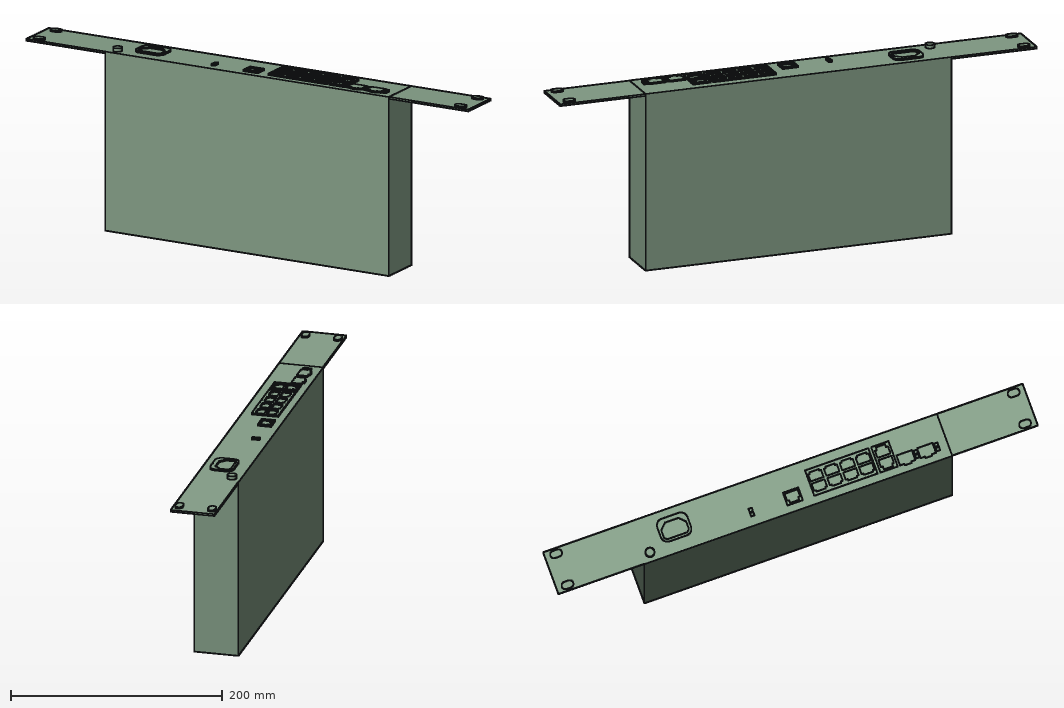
import cadquery as cq

rack_width = 482.5
chassis_width = 310.0
chassis_height = 43.5
chassis_depth = 176.5
ear_thickness = 2.0
ear_height = 43.0

chassis_right = chassis_width / 2
ear_length = (rack_width - chassis_width) / 2
chassis_top_y = chassis_height / 2

relief = 1.5

rack_boss_width = 11.5
rack_boss_height = 7.0
rack_boss_x = 230.0
rack_boss_pitch = 32.0

button_x = -146.0
button_y = -13.0
button_diameter = 8.5
button_height = 3.5

inlet_x = -116.5
inlet_y = 2.5
inlet_width = 30.5
inlet_height = 23.0
inlet_corner = 6.8
socket_width = 25.0
socket_height = 16.0
socket_y = 1.5
socket_top_chamfer = 6.0
socket_bottom_chamfer = 2.5

led_size = 3.5
led_pitch = 4.5
led_y = -8.5
status_led_x = -42.5

jack_width = 13.0
jack_body_height = 7.0
latch_width = 9.0
block_latch_height = 1.5
single_latch_height = 3.0

console_x = -0.5
console_y = -7.5
console_width = 15.5
console_height = 13.0
console_rim = 1.5

ports_y = -1.0
ports_height = 26.0
row_gap = 2.5
block_x = 50.5
block_width = 63.5
block_columns = 4
jack_pitch = 16.0
uplink_x = 94.0
uplink_width = 17.5

cage_xs = (113.0, 133.5)
cage_width = 15.5
cage_height = 10.0
cage_y = -8.5
tab_width = 6.8
tab_height = 1.5
cage_led_offset = 10.5


def block(width, height, x, y, z_bottom, z_top):
    """Rectangular block centred on (x, y) between two heights."""
    return cq.Workplane("XY", origin=(x, y, z_bottom)).rect(width, height).extrude(z_top - z_bottom)


def raised(width, height, x, y):
    """Shallow rectangular boss on the front plate."""
    return block(width, height, x, y, 0, relief)


def ear(side):
    """Mounting ear beside the chassis with two oval bosses; side is -1 (left) or 1 (right)."""
    x = side * (chassis_right + ear_length / 2)
    y = chassis_top_y - ear_height / 2
    plate = block(ear_length, ear_height, x, y, -ear_thickness, 0)
    bosses = (
        cq.Workplane("XY")
        .center(side * rack_boss_x, 0)
        .rarray(5, rack_boss_pitch, 1, 2)
        .slot2D(rack_boss_width, rack_boss_height)
        .extrude(relief)
    )
    return plate.union(bosses)


def power_inlet():
    """Rounded frame around a socket whose upper corners are cut off more than the lower ones."""
    frame = raised(inlet_width, inlet_height, inlet_x, inlet_y).edges("|Z").fillet(inlet_corner)
    socket = raised(socket_width, socket_height, inlet_x, socket_y)
    socket = socket.edges("|Z and >Y").chamfer(socket_top_chamfer)
    socket = socket.edges("|Z and <Y").chamfer(socket_bottom_chamfer)
    return frame.cut(socket)


def jack_opening(x, base_y, latch_side, latch_height):
    """Jack opening whose flat side is at base_y; latch_side is 1 for a latch above, -1 for below."""
    body = raised(jack_width, jack_body_height, x, base_y + latch_side * jack_body_height / 2)
    latch_offset = jack_body_height + latch_height / 2
    latch = raised(latch_width, latch_height, x, base_y + latch_side * latch_offset)
    return body.union(latch)


def console_port():
    """Single jack with its latch below."""
    frame = raised(console_width, console_height, console_x, console_y)
    base_y = console_y + console_height / 2 - console_rim
    return frame.cut(jack_opening(console_x, base_y, -1, single_latch_height))


def port_block(x, width, columns, latch_height):
    """Frame holding two rows of jacks whose latches face away from each other."""
    frame = raised(width, ports_height, x, ports_y)
    for column in range(columns):
        jack_x = x + (column - (columns - 1) / 2) * jack_pitch
        for row in (-1, 1):
            base_y = ports_y + row * row_gap / 2
            frame = frame.cut(jack_opening(jack_x, base_y, row, latch_height))
    return frame


def led_pair(x):
    """Two square LEDs, one above the other."""
    leds = cq.Workplane("XY").center(x, led_y).rarray(5, led_pitch, 1, 2)
    return leds.rect(led_size, led_size).extrude(relief)


def fibre_cage(x):
    """Solid cage block with its latch tab and its LEDs."""
    cage = raised(cage_width, cage_height, x, cage_y)
    tab = raised(tab_width, tab_height, x, cage_y - (cage_height + tab_height) / 2)
    return cage.union(tab).union(led_pair(x + cage_led_offset))


def chassis():
    """Box with the left ear and all connectors on its front plate."""
    body = block(chassis_width, chassis_height, 0, 0, -chassis_depth, 0)
    body = body.union(ear(-1))
    button = cq.Workplane("XY").center(button_x, button_y).circle(button_diameter / 2)
    body = body.union(button.extrude(button_height))
    body = body.union(power_inlet())
    body = body.union(led_pair(status_led_x))
    body = body.union(console_port())
    body = body.union(port_block(block_x, block_width, block_columns, block_latch_height))
    body = body.union(port_block(uplink_x, uplink_width, 1, single_latch_height))
    for x in cage_xs:
        body = body.union(fibre_cage(x))
    return body


switch_chassis = chassis()
right_ear = ear(1)

result = cq.Compound.makeCompound([switch_chassis.val(), right_ear.val()])